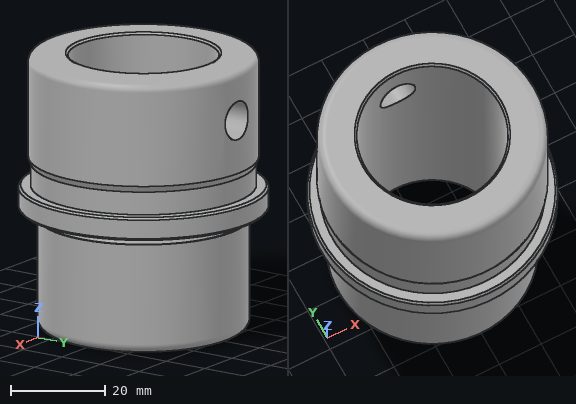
import cadquery as cq
import math

total_height = 60.0
flange_bottom = 26.0
flange_top = 31.0
relief_top = 36.0
head_bottom = 37.4
undercut_height = 2.0

flange_radius = 26.5
head_radius = 24.5
relief_radius = 23.95
shank_radius = 22.5
undercut_step = 0.35
undercut_arc_radius = 5.0
bore_radius = 16.0

end_round = 2.0
flange_chamfer = 0.5
bore_chamfer = 0.5

hole_radius = 4.2
hole_height = 49.0


def turned_body():
    """Revolve the outer profile about Z."""
    undercut_bottom = flange_bottom - undercut_height
    undercut_radius = shank_radius - undercut_step
    arc_inset = undercut_arc_radius - math.sqrt(undercut_arc_radius**2 - undercut_height**2)
    neck_radius = undercut_radius - arc_inset
    profile = (
        cq.Workplane("XZ")
        .lineTo(shank_radius, 0)
        .lineTo(shank_radius, undercut_bottom)
        .lineTo(undercut_radius, undercut_bottom)
        .radiusArc((neck_radius, flange_bottom), undercut_arc_radius)
        .lineTo(flange_radius - flange_chamfer, flange_bottom)
        .lineTo(flange_radius, flange_bottom + flange_chamfer)
        .lineTo(flange_radius, flange_top - flange_chamfer)
        .lineTo(flange_radius - flange_chamfer, flange_top)
        .lineTo(relief_radius, flange_top)
        .lineTo(relief_radius, relief_top)
        .lineTo(head_radius, head_bottom)
        .lineTo(head_radius, total_height)
        .lineTo(0, total_height)
        .close()
    )
    body = profile.revolve(360, (0, 0), (0, 1))
    return body.faces("<Z or >Z").edges().fillet(end_round)


def flared_bore():
    """Through bore cutter, widened at both ends to chamfer the rims."""
    return (
        cq.Workplane("XZ")
        .lineTo(bore_radius + bore_chamfer, 0)
        .lineTo(bore_radius, bore_chamfer)
        .lineTo(bore_radius, total_height - bore_chamfer)
        .lineTo(bore_radius + bore_chamfer, total_height)
        .lineTo(0, total_height)
        .close()
        .revolve(360, (0, 0), (0, 1))
    )


def radial_hole():
    """Cutter running from the axis outward along +Y."""
    return (
        cq.Workplane("XZ", origin=(0, 0, hole_height))
        .circle(hole_radius)
        .extrude(-flange_radius)
    )


result = turned_body().cut(flared_bore()).cut(radial_hole())